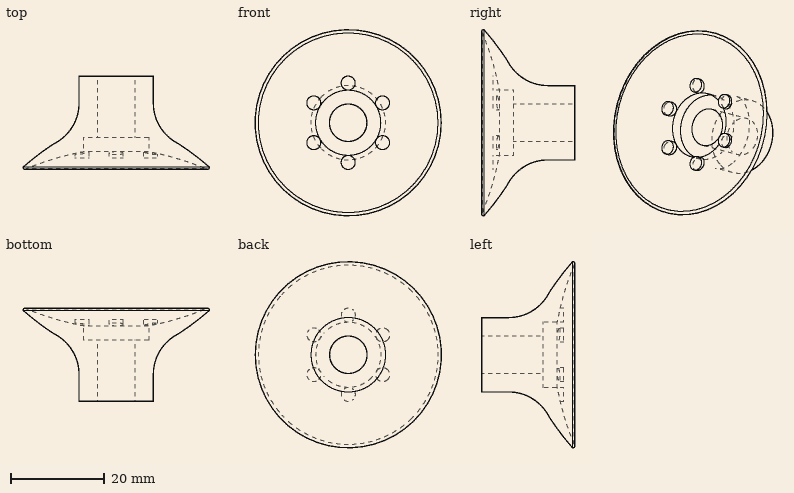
import cadquery as cq
import math

outer_radius = 20.0
height = 20.0

neck_radius = 8.0
neck_start = 14.2
throat_arc_radius = 9.7
throat_end = 5.45
flare_mid = (16.8, 3.1)

lip_round = 0.4
lip_outer_angle = 20.0
lip_inner_angle = 217.0

cup_mid = (14.7, 1.85)
cup_depth = 3.8
counterbore_radius = 7.0
counterbore_floor = 6.8
bore_radius = 4.0

pad_count = 6
pad_diameter = 3.0
pad_circle_radius = 8.5
pad_face = 2.5
pad_root = 4.8


def arc_point(center, radius, angle):
    """Point on a circle, as (distance from axis, Y)."""
    turn = math.radians(angle)
    return (center[0] + radius * math.cos(turn), center[1] + radius * math.sin(turn))


def make_cup():
    """Revolve the wall profile, drawn as (distance from axis, Y)."""
    throat_center = (neck_radius + throat_arc_radius, neck_start)
    throat_sweep = math.degrees(math.asin((neck_start - throat_end) / throat_arc_radius))
    throat_mid = arc_point(throat_center, throat_arc_radius, 180 + throat_sweep / 2)
    throat_foot = arc_point(throat_center, throat_arc_radius, 180 + throat_sweep)

    lip_center = (outer_radius - lip_round, lip_round)
    lip_mid_angle = (lip_outer_angle + lip_inner_angle - 360) / 2
    lip_outer = arc_point(lip_center, lip_round, lip_outer_angle)
    lip_mid = arc_point(lip_center, lip_round, lip_mid_angle)
    lip_inner = arc_point(lip_center, lip_round, lip_inner_angle)

    profile = (
        cq.Workplane("XY")
        .moveTo(bore_radius, height)
        .lineTo(neck_radius, height)
        .lineTo(neck_radius, neck_start)
        .threePointArc(throat_mid, throat_foot)
        .threePointArc(flare_mid, lip_outer)
        .threePointArc(lip_mid, lip_inner)
        .threePointArc(cup_mid, (counterbore_radius, cup_depth))
        .lineTo(counterbore_radius, counterbore_floor)
        .lineTo(bore_radius, counterbore_floor)
        .close()
    )
    return profile.revolve(360, (0, 0, 0), (0, 1, 0))


def make_pads():
    """Ring of pads with one on the +Z side, rooted inside the cup wall."""
    return (
        cq.Workplane("XZ", origin=(0, pad_root, 0))
        .polarArray(pad_circle_radius, 90, 360, pad_count)
        .circle(pad_diameter / 2)
        .extrude(pad_root - pad_face)
    )


counterbore = (
    cq.Workplane("XZ", origin=(0, counterbore_floor, 0))
    .circle(counterbore_radius)
    .extrude(counterbore_floor)
)

result = make_cup().union(make_pads().cut(counterbore))